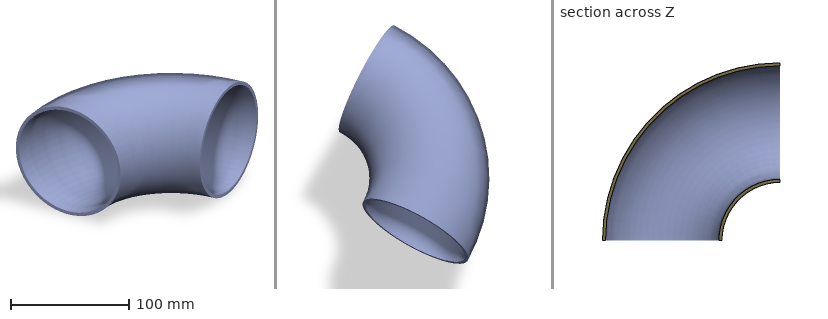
import cadquery as cq

overall_length = 150.8
outer_diameter = 101.6
wall_thickness = 3.0
bend_angle = 90

outer_radius = outer_diameter / 2
inner_radius = outer_radius - wall_thickness
bend_radius = overall_length - outer_radius

pipe_section = (
    cq.Workplane("XZ")
    .center(-bend_radius, 0)
    .circle(outer_radius)
    .circle(inner_radius)
)

result = pipe_section.revolve(
    bend_angle,
    axisStart=(bend_radius, 0),
    axisEnd=(bend_radius, -1),
)